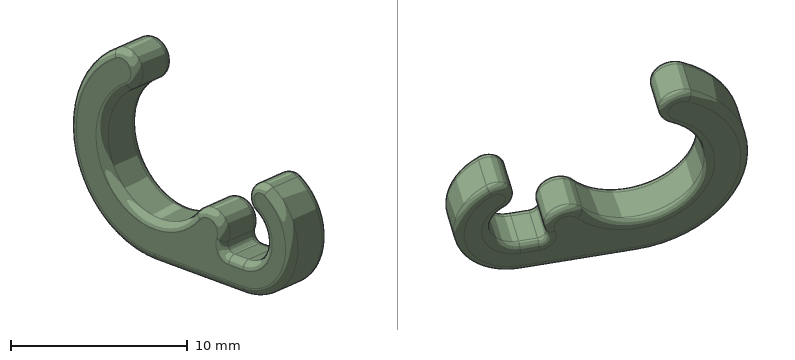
import cadquery as cq
import math

length = 17.0
thickness = 3.0
edge_round = 0.5

large_outer = 6.5
large_wall = 2.5
large_tip_angle = 119.5
large_bump_angle = -39.5

small_outer = 3.75
small_wall = 2.0
small_tip_angle = 60.0

corner_radius = 0.5

large_inner = large_outer - large_wall
small_inner = small_outer - small_wall
base_z = -large_outer
floor_z = base_z + small_wall
large_center = (0.0, 0.0)
small_center = (length - large_outer - small_outer, base_z + small_outer)


def polar(center, radius, angle):
    """Point at an angle in degrees around a centre in the XZ plane."""
    turn = math.radians(angle)
    return (center[0] + radius * math.cos(turn), center[1] + radius * math.sin(turn))


large_end_radius = large_wall / 2
small_end_radius = small_wall / 2
large_mid = large_inner + large_end_radius
small_mid = small_inner + small_end_radius
large_tip = polar(large_center, large_mid, large_tip_angle)
small_tip = polar(small_center, small_mid, small_tip_angle)
bump = polar(large_center, large_mid, large_bump_angle)

corner_z = floor_z + corner_radius
corner_reach = large_end_radius + corner_radius
corner_x = bump[0] + math.sqrt(corner_reach**2 - (bump[1] - corner_z) ** 2)
corner = (corner_x, corner_z)
contact_angle = math.degrees(math.atan2(corner_z - bump[1], corner_x - bump[0]))
bump_start_angle = large_bump_angle + 180
corner_start_angle = contact_angle + 180
corner_end_angle = 270.0


def add_arc(outline, center, radius, start, end):
    """Continue the outline, already at the start angle, along an arc to the end angle."""
    middle = (start + end) / 2
    return outline.threePointArc(polar(center, radius, middle), polar(center, radius, end))


outline = cq.Workplane("XZ").moveTo(0, base_z).lineTo(small_center[0], base_z)
outline = add_arc(outline, small_center, small_outer, -90, small_tip_angle)
outline = add_arc(outline, small_tip, small_end_radius, small_tip_angle, small_tip_angle + 180)
outline = add_arc(outline, small_center, small_inner, small_tip_angle, -90)
outline = outline.lineTo(corner_x, floor_z)
outline = add_arc(outline, corner, corner_radius, corner_end_angle, corner_start_angle)
outline = add_arc(outline, bump, large_end_radius, contact_angle, bump_start_angle)
outline = add_arc(outline, large_center, large_inner, large_bump_angle, large_tip_angle - 360)
outline = add_arc(outline, large_tip, large_end_radius, large_tip_angle - 180, large_tip_angle)
outline = add_arc(outline, large_center, large_outer, large_tip_angle, 270)

body = outline.close().extrude(thickness / 2, both=True)
result = body.faces("<Y or >Y").edges().fillet(edge_round)